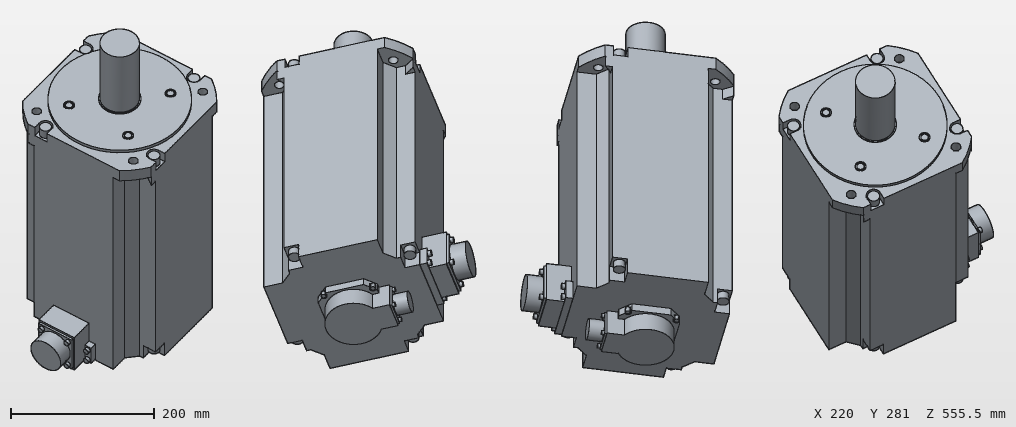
import cadquery as cq


TOTAL_LENGTH = 555.5
SIDE = 220.0
HALF_SIDE = SIDE / 2
BODY_LENGTH = 400.0
BODY_BOTTOM = -BODY_LENGTH

SHAFT_DIA = 55.0
SHAFT_LENGTH = 116.0
COLLAR_DIA = 59.0
COLLAR_HEIGHT = 1.5
SPIGOT_DIA = 200.0
SPIGOT_HEIGHT = 5.0

PLUG_OFFSET = 50.5
PLUG_HOLE_DIA = 15.0
PLUG_DIA = 10.5
PLUG_HOLE_DEPTH = 1.5

FLANGE_THICKNESS = 20.0
FLANGE_CORNER_DIA = 270.0
MOUNT_HOLE_OFFSET = 83.0
MOUNT_HOLE_DIA = 13.5

NOTCH_SIDE = 42.0
NOTCH_CHAMFER = 15.0

LUG_EDGE = 78.0
LUG_DEPTH = 14.0
LUG_BOTTOM = -37.0

BOLT_X = -56.0
BOLT_Y = -99.0
BOLT_HEAD_DIA = 16.5
TOP_SLOT_WIDTH = 20.5
TOP_SLOT_DEPTH = 16.0
TOP_HEAD_GAP = 1.5
LOW_POCKET_INNER_X = -46.5
LOW_POCKET_DEPTH = 21.0
LOW_POCKET_HEIGHT = 24.5
LOW_HEAD_HEIGHT = 11.5

ENCODER_BASE_SIDE = 86.0
ENCODER_BASE_CHAMFER = 15.5
ENCODER_BASE_HEIGHT = 11.5
ENCODER_CAP_DIA = 80.0
ENCODER_HEIGHT = TOTAL_LENGTH - SHAFT_LENGTH - BODY_LENGTH
ENCODER_SCREW_X = -32.0
ENCODER_SCREW_Y = -38.0
ENCODER_POCKET_DIA = 10.0
ENCODER_POCKET_HEIGHT = 7.0
ENCODER_SCREW_DIA = 6.5

SIGNAL_BOX_WIDTH = 42.0
SIGNAL_BOX_FRONT = -58.5
SIGNAL_PLATE_SIDE = 37.0
SIGNAL_PLATE_THICKNESS = 3.0
SIGNAL_PLUG_DIA = 30.0
SIGNAL_PLUG_END = -82.0
SIGNAL_Z = BODY_BOTTOM - ENCODER_HEIGHT / 2
SIGNAL_SCREW_OFFSET = 15.0
SIGNAL_SCREW_DIA = 6.0
SIGNAL_SCREW_HEIGHT = 4.0

POWER_X = -4.0
POWER_Z = BODY_BOTTOM + 35.0
POWER_BOX_SIDE_X = 60.5
POWER_BOX_SIDE_Z = 64.0
POWER_BOX_DEPTH = 35.0
POWER_PLATE_SIDE = 57.0
POWER_PLATE_THICKNESS = 3.5
POWER_PLUG_DIA = 51.0
POWER_REACH = 61.0
POWER_SCREW_OFFSET = 22.0
POWER_SCREW_DIA = 8.0
POWER_SCREW_HEIGHT = 5.0

EAR_SPAN = 82.0
EAR_THICKNESS = 10.0
EAR_BOTTOM = BODY_BOTTOM + 1.5
EAR_TOP = BODY_BOTTOM + 31.5
EAR_SCREW_OFFSET_X = 35.5
EAR_SCREW_HEIGHTS = (7.0, 25.5)
EAR_SCREW_DIA = 8.5
EAR_SCREW_HEIGHT = 5.0


def box(x_range, y_range, z_range):
    """Box between two limits along each axis."""
    (x0, x1), (y0, y1), (z0, z1) = x_range, y_range, z_range
    return cq.Workplane("XY").box(x1 - x0, y1 - y0, z1 - z0, centered=False).translate((x0, y0, z0))


def upright(x, y, dia, z0, z1):
    """Cylinder parallel to Z."""
    return cq.Workplane("XY", origin=(x, y, z0)).circle(dia / 2).extrude(z1 - z0)


def forward(x, z, dia, y_back, y_front):
    """Cylinder parallel to Y that grows toward -Y."""
    return cq.Workplane("XZ", origin=(x, y_back, z)).circle(dia / 2).extrude(y_back - y_front)


def four_times(shape):
    """The shape and its three quarter-turn copies about Z."""
    copies = shape
    for turn in (90, 180, 270):
        copies = copies.union(shape.rotate((0, 0, 0), (0, 0, 1), turn))
    return copies


def housing():
    notch_wall = HALF_SIDE - NOTCH_SIDE
    floor_end = notch_wall + NOTCH_CHAMFER
    body = cq.Workplane("XY").rect(SIDE, SIDE).extrude(BODY_BOTTOM)
    notch = (
        cq.Workplane("XY", origin=(0, 0, -FLANGE_THICKNESS))
        .moveTo(-HALF_SIDE, -HALF_SIDE)
        .lineTo(-notch_wall, -HALF_SIDE)
        .lineTo(-notch_wall, -floor_end)
        .lineTo(-floor_end, -notch_wall)
        .lineTo(-HALF_SIDE, -notch_wall)
        .close()
        .extrude(BODY_BOTTOM + FLANGE_THICKNESS)
    )
    lug = (
        cq.Workplane("XY")
        .moveTo(-LUG_EDGE, -HALF_SIDE)
        .lineTo(-notch_wall, -HALF_SIDE)
        .lineTo(-notch_wall, -HALF_SIDE + LUG_DEPTH)
        .close()
        .extrude(LUG_BOTTOM)
    )
    rounding = upright(0, 0, FLANGE_CORNER_DIA, -FLANGE_THICKNESS, 0)
    below_flange = box((-SIDE, SIDE), (-SIDE, SIDE), (BODY_BOTTOM, -FLANGE_THICKNESS))
    body = body.intersect(rounding.union(below_flange))
    return body.cut(four_times(notch)).union(four_times(lug))


def mounting_holes():
    offset = MOUNT_HOLE_OFFSET
    return four_times(upright(-offset, -offset, MOUNT_HOLE_DIA, -FLANGE_THICKNESS, 0))


def top_bolt_slots():
    half_width = TOP_SLOT_WIDTH / 2
    side_opening = box(
        (BOLT_X - half_width, BOLT_X + half_width), (-HALF_SIDE, BOLT_Y), (-TOP_SLOT_DEPTH, 0)
    )
    slot = upright(BOLT_X, BOLT_Y, TOP_SLOT_WIDTH, -TOP_SLOT_DEPTH, 0).union(side_opening)
    head = upright(BOLT_X, BOLT_Y, BOLT_HEAD_DIA, -TOP_SLOT_DEPTH, -TOP_HEAD_GAP)
    return four_times(slot.cut(head))


def low_bolt_pockets():
    pocket_top = BODY_BOTTOM + LOW_POCKET_HEIGHT
    pocket = box(
        (-HALF_SIDE + NOTCH_SIDE, LOW_POCKET_INNER_X),
        (-HALF_SIDE, -HALF_SIDE + LOW_POCKET_DEPTH),
        (BODY_BOTTOM, pocket_top),
    )
    head = upright(BOLT_X, BOLT_Y, BOLT_HEAD_DIA, pocket_top - LOW_HEAD_HEIGHT, pocket_top)
    return four_times(pocket.cut(head))


def shaft_end():
    spigot = upright(0, 0, SPIGOT_DIA, 0, SPIGOT_HEIGHT)
    hole = upright(PLUG_OFFSET, PLUG_OFFSET, PLUG_HOLE_DIA, SPIGOT_HEIGHT - PLUG_HOLE_DEPTH, SPIGOT_HEIGHT)
    plug = upright(PLUG_OFFSET, PLUG_OFFSET, PLUG_DIA, SPIGOT_HEIGHT - PLUG_HOLE_DEPTH, SPIGOT_HEIGHT)
    collar = upright(0, 0, COLLAR_DIA, 0, SPIGOT_HEIGHT + COLLAR_HEIGHT)
    shaft = upright(0, 0, SHAFT_DIA, 0, SHAFT_LENGTH)
    return spigot.cut(four_times(hole.cut(plug))).union(collar).union(shaft)


def corner_screws(x, z, offset, dia, y_back, y_front):
    """Four screw heads around a connector centre."""
    plane = cq.Workplane("XZ", origin=(x, y_back, z))
    centres = plane.rect(2 * offset, 2 * offset, forConstruction=True).vertices()
    return centres.circle(dia / 2).extrude(y_back - y_front)


def encoder():
    base_bottom = BODY_BOTTOM - ENCODER_BASE_HEIGHT
    base = (
        cq.Workplane("XY", origin=(0, 0, BODY_BOTTOM))
        .rect(ENCODER_BASE_SIDE, ENCODER_BASE_SIDE)
        .extrude(-ENCODER_BASE_HEIGHT)
        .edges("|Z")
        .chamfer(ENCODER_BASE_CHAMFER)
    )
    seat = base_bottom + ENCODER_POCKET_HEIGHT
    pocket = upright(ENCODER_SCREW_X, ENCODER_SCREW_Y, ENCODER_POCKET_DIA, base_bottom, seat)
    screw = upright(ENCODER_SCREW_X, ENCODER_SCREW_Y, ENCODER_SCREW_DIA, base_bottom, seat)
    cap = upright(0, 0, ENCODER_CAP_DIA, BODY_BOTTOM - ENCODER_HEIGHT, BODY_BOTTOM)
    return base.cut(four_times(pocket)).union(four_times(screw)).union(cap)


def signal_connector():
    half_width = SIGNAL_BOX_WIDTH / 2
    half_plate = SIGNAL_PLATE_SIDE / 2
    plate_front = SIGNAL_BOX_FRONT - SIGNAL_PLATE_THICKNESS
    offset = SIGNAL_SCREW_OFFSET
    screw_front = plate_front - SIGNAL_SCREW_HEIGHT
    body = box(
        (-half_width, half_width), (SIGNAL_BOX_FRONT, 0), (BODY_BOTTOM - ENCODER_HEIGHT, BODY_BOTTOM)
    )
    plate = box(
        (-half_plate, half_plate),
        (plate_front, SIGNAL_BOX_FRONT),
        (SIGNAL_Z - half_plate, SIGNAL_Z + half_plate),
    )
    plug = forward(0, SIGNAL_Z, SIGNAL_PLUG_DIA, plate_front, SIGNAL_PLUG_END)
    screws = corner_screws(0, SIGNAL_Z, offset, SIGNAL_SCREW_DIA, plate_front, screw_front)
    return body.union(plate).union(plug).union(screws)


def power_connector():
    wall = -HALF_SIDE
    box_front = wall - POWER_BOX_DEPTH
    plate_front = box_front - POWER_PLATE_THICKNESS
    half_x = POWER_BOX_SIDE_X / 2
    half_z = POWER_BOX_SIDE_Z / 2
    half_plate = POWER_PLATE_SIDE / 2
    offset = POWER_SCREW_OFFSET
    screw_front = plate_front - POWER_SCREW_HEIGHT
    body = box(
        (POWER_X - half_x, POWER_X + half_x), (box_front, wall), (POWER_Z - half_z, POWER_Z + half_z)
    )
    plate = box(
        (POWER_X - half_plate, POWER_X + half_plate),
        (plate_front, box_front),
        (POWER_Z - half_plate, POWER_Z + half_plate),
    )
    plug = forward(POWER_X, POWER_Z, POWER_PLUG_DIA, plate_front, wall - POWER_REACH)
    screws = corner_screws(POWER_X, POWER_Z, offset, POWER_SCREW_DIA, plate_front, screw_front)
    return body.union(plate).union(plug).union(screws)


def power_ears():
    wall = -HALF_SIDE
    ear_front = wall - EAR_THICKNESS
    half_span = EAR_SPAN / 2
    ears = box((POWER_X - half_span, POWER_X + half_span), (ear_front, wall), (EAR_BOTTOM, EAR_TOP))
    for side in (-1, 1):
        for height in EAR_SCREW_HEIGHTS:
            x = POWER_X + side * EAR_SCREW_OFFSET_X
            z = BODY_BOTTOM + height
            ears = ears.union(forward(x, z, EAR_SCREW_DIA, ear_front, ear_front - EAR_SCREW_HEIGHT))
    return ears


motor = housing().cut(mounting_holes()).cut(top_bolt_slots()).cut(low_bolt_pockets())
result = (
    motor.union(shaft_end())
    .union(encoder())
    .union(signal_connector())
    .union(power_ears())
    .union(power_connector())
)